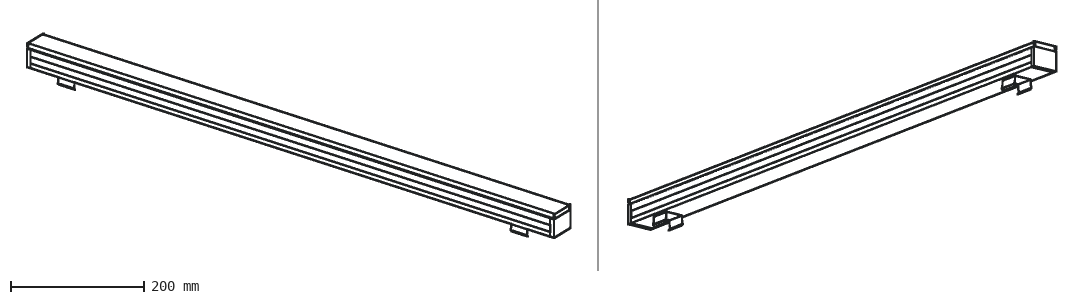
import cadquery as cq
import math

length = 978.0
width = 42.5
half_width = width / 2
total_height = 55.7

cover_bottom_z = -8.2
groove_top_z = -20.0
groove_bottom_z = -31.3
bar_bottom_z = -39.3
clip_bottom_z = -total_height

cover_width = 37.6
lip_height = 4.2
lip_thickness = 1.0

groove_depth = 0.4
cap_thickness = 7.0
housing_length = length - 2 * cap_thickness

clip_length = 30.0
clip_centre_x = 420.0
sheet_thickness = 0.5
bend_radius = 1.0
clip_half_width = 15.3
leg_bottom_z = -47.0
flare_angle = 14.0
flare_bottom_z = -52.5
toe_inset = 2.8


def centred_block(x_size, y_size, z_bottom, z_top):
    """Block centred on X = 0 and Y = 0 between two levels."""
    block = cq.Workplane("XY").box(x_size, y_size, z_top - z_bottom, centered=(True, True, False))
    return block.translate((0, 0, z_bottom))


def make_cover():
    """Bar along the top, narrower than the housing, with a full-width lip at each end."""
    cover = centred_block(length, cover_width, cover_bottom_z, 0)
    lip = centred_block(lip_thickness, width, -lip_height, 0)
    for side in (-1, 1):
        cover = cover.union(lip.translate((side * (length - lip_thickness) / 2, 0, 0)))
    return cover


def make_housing():
    """Full-width bar with a wide, shallow groove along both sides."""
    above_groove = centred_block(housing_length, width, groove_top_z, cover_bottom_z)
    at_groove = centred_block(housing_length, width - 2 * groove_depth, groove_bottom_z, groove_top_z)
    below_groove = centred_block(housing_length, width, bar_bottom_z, groove_bottom_z)
    return above_groove.union(at_groove).union(below_groove)


def make_end_cap(side):
    """Plain plate that closes one end of the housing, under the end of the cover."""
    cap = centred_block(cap_thickness, width, bar_bottom_z, cover_bottom_z)
    return cap.translate((side * (length - cap_thickness) / 2, 0, 0))


def make_clip(side):
    """Sheet clip: a flat web with two legs that flare out and then turn in at the toe."""
    flare_y = clip_half_width + (leg_bottom_z - flare_bottom_z) * math.tan(math.radians(flare_angle))
    right_outer = [
        (clip_half_width, bar_bottom_z),
        (clip_half_width, leg_bottom_z),
        (flare_y, flare_bottom_z),
        (flare_y - toe_inset, clip_bottom_z),
    ]
    right_inner = [(y - sheet_thickness, z) for y, z in reversed(right_outer[1:])]
    right_inner.append((clip_half_width - sheet_thickness, bar_bottom_z - sheet_thickness))
    right_side = right_outer + right_inner
    left_side = [(-y, z) for y, z in reversed(right_side)]
    outline = cq.Workplane("YZ").polyline(right_side + left_side).close()
    clip = outline.extrude(clip_length / 2, both=True).edges("|X and >Z").fillet(bend_radius)
    return clip.translate((side * clip_centre_x, 0, 0))


cover = make_cover()
housing = make_housing()
end_caps = [make_end_cap(side) for side in (-1, 1)]
clips = [make_clip(side) for side in (-1, 1)]

result = cq.Compound.makeCompound(
    [cover.val(), housing.val()] + [body.val() for body in end_caps + clips]
)